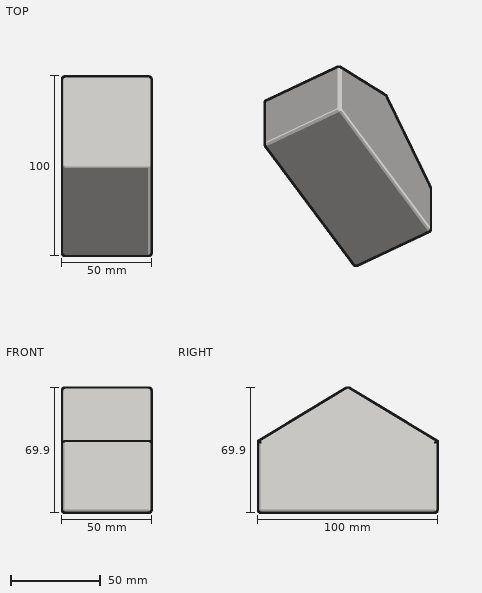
import cadquery as cq

width = 50.0
length = 100.0
wall_height = 40.0
ridge_height = 70.25
edge_radius = 2.0


def house_block():
    """Five-sided house profile, centred on X and Y, standing on Z = 0."""
    half_length = length / 2
    profile = [
        (-half_length, 0),
        (half_length, 0),
        (half_length, wall_height),
        (0, ridge_height),
        (-half_length, wall_height),
    ]
    return cq.Workplane("YZ").polyline(profile).close().extrude(width / 2, both=True)


def round_edges(block):
    """Round every edge except the two eaves, which stay sharp."""
    gable_edges = block.faces("<X or >X").edges()
    ridge_edge = block.edges("|X").edges(">Z")
    bottom_edges = block.faces("<Z").edges("|X")
    return gable_edges.add(ridge_edge).add(bottom_edges).fillet(edge_radius)


result = round_edges(house_block())